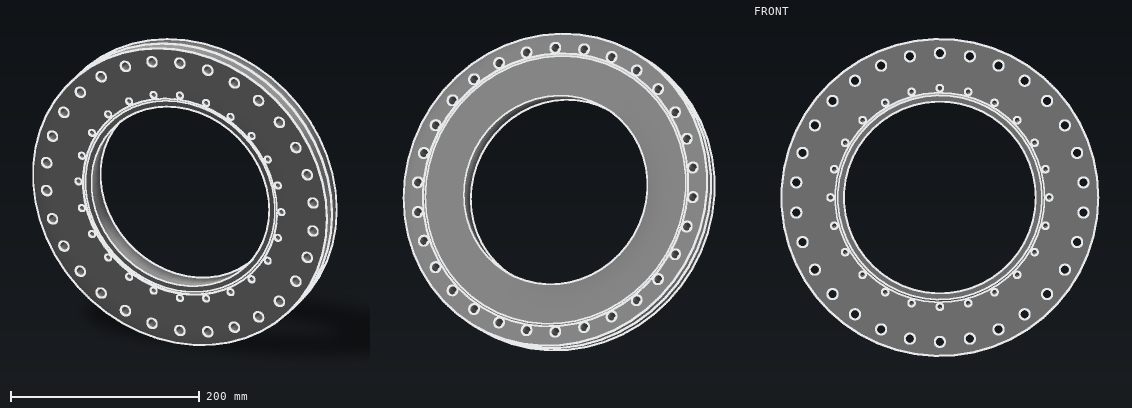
import cadquery as cq
import math

outer_diameter = 336.6
bore_diameter = 203.2
thickness = 28.4
rim_chamfer = 0.5

rim_groove_width = 1.6
rim_groove_depth = 0.3

front_recess_diameter = 222.2
back_recess_diameter = 294.04
knife_slope_width = 2.8
knife_edge_depth = 1.1
knife_slope_angle = 20.0

bolt_hole_count = 30
bolt_hole_diameter = 10.45
bolt_circle_diameter = 306.2

blind_hole_count = 24
blind_hole_diameter = 6.65
blind_circle_diameter = 231.9
blind_hole_depth = 15.0
drill_point_angle = 118.0
flat_hole_positions = (0, 18)

hole_chamfer = 0.4

outer_radius = outer_diameter / 2
bore_radius = bore_diameter / 2
front_y = -thickness / 2
back_y = thickness / 2


def revolve_about_y(profile):
    """Revolve a closed (radius, y) profile about the Y axis."""
    return profile.revolve(360, (0, 0, 0), (0, 1, 0))


def revolve_points(points):
    """Revolve a straight-sided outline of (radius, y) points about the Y axis."""
    return revolve_about_y(cq.Workplane("XY").polyline(points).close())


def make_body():
    """Plain ring with chamfered outer rims and a rounded groove around the outside."""
    chamfer_radius = outer_radius - rim_chamfer
    groove_radius = outer_radius - rim_groove_depth
    half_groove = rim_groove_width / 2
    profile = (
        cq.Workplane("XY")
        .moveTo(bore_radius, front_y)
        .lineTo(chamfer_radius, front_y)
        .lineTo(outer_radius, front_y + rim_chamfer)
        .lineTo(outer_radius, -half_groove)
        .threePointArc((groove_radius, 0), (outer_radius, half_groove))
        .lineTo(outer_radius, back_y - rim_chamfer)
        .lineTo(chamfer_radius, back_y)
        .lineTo(bore_radius, back_y)
        .close()
    )
    return revolve_about_y(profile)


def make_seal_recess(recess_diameter):
    """Volume removed from the front face to leave a knife edge and its inner land."""
    recess_radius = recess_diameter / 2
    knife_radius = recess_radius - knife_slope_width
    knife_y = front_y + knife_edge_depth
    slope_drop = knife_slope_width * math.tan(math.radians(knife_slope_angle))
    return revolve_points([
        (bore_radius, front_y),
        (recess_radius, front_y),
        (recess_radius, knife_y + slope_drop),
        (knife_radius, knife_y),
        (bore_radius, knife_y),
    ])


def make_bolt_hole():
    """Through hole at the top of the bolt circle, chamfered at both ends."""
    hole_radius = bolt_hole_diameter / 2
    mouth_radius = hole_radius + hole_chamfer
    hole = revolve_points([
        (0, front_y),
        (mouth_radius, front_y),
        (hole_radius, front_y + hole_chamfer),
        (hole_radius, back_y - hole_chamfer),
        (mouth_radius, back_y),
        (0, back_y),
    ])
    return hole.translate((0, 0, bolt_circle_diameter / 2))


def make_blind_hole(point_length):
    """Drilled hole at the top of the blind-hole circle; a point length of zero ends it flat."""
    hole_radius = blind_hole_diameter / 2
    wall_end_y = front_y + blind_hole_depth
    outline = [
        (0, front_y),
        (hole_radius + hole_chamfer, front_y),
        (hole_radius, front_y + hole_chamfer),
        (hole_radius, wall_end_y),
        (0, wall_end_y + point_length),
    ]
    return revolve_points(outline).translate((0, 0, blind_circle_diameter / 2))


def place_on_ring(tool, positions, count):
    """Copies of a tool at the given positions of a ring of evenly spaced places about Y."""
    ring = cq.Workplane("XY")
    for position in positions:
        ring = ring.add(tool.rotate((0, 0, 0), (0, 1, 0), position * 360 / count))
    return ring.combine()


def make_bolt_holes():
    """Full ring of bolt holes, the first one at the top."""
    return place_on_ring(make_bolt_hole(), range(bolt_hole_count), bolt_hole_count)


def make_pointed_holes():
    """Blind holes that end in a drill point."""
    point_length = blind_hole_diameter / 2 / math.tan(math.radians(drill_point_angle / 2))
    positions = [place for place in range(blind_hole_count) if place not in flat_hole_positions]
    return place_on_ring(make_blind_hole(point_length), positions, blind_hole_count)


def make_flat_holes():
    """Blind holes that end flat."""
    return place_on_ring(make_blind_hole(0), flat_hole_positions, blind_hole_count)


result = (
    make_body()
    .cut(make_seal_recess(front_recess_diameter))
    .cut(make_seal_recess(back_recess_diameter).mirror("XZ"))
    .cut(make_bolt_holes())
    .cut(make_pointed_holes())
    .cut(make_flat_holes())
)